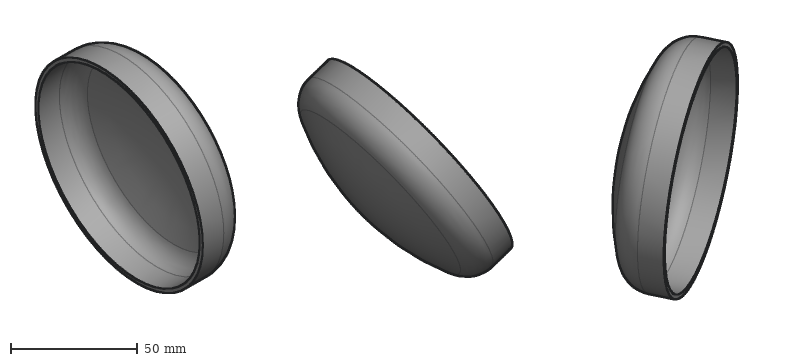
import cadquery as cq
import math

outer_diameter = 104.0
inner_diameter = 100.0
total_height = 31.9
inner_crown_radius = outer_diameter
inner_knuckle_radius = outer_diameter / 10

outer_radius = outer_diameter / 2
inner_radius = inner_diameter / 2
wall = outer_radius - inner_radius
crown_center_y = total_height - wall - inner_crown_radius

knuckle_center_x = inner_radius - inner_knuckle_radius
crown_angle = math.asin(knuckle_center_x / (inner_crown_radius - inner_knuckle_radius))
knuckle_center_y = crown_center_y + (inner_crown_radius - inner_knuckle_radius) * math.cos(crown_angle)


def polar_point(center_x, center_y, radius, angle):
    """Point on an arc, with the angle measured from the Y axis towards X."""
    return (center_x + radius * math.sin(angle), center_y + radius * math.cos(angle))


def dome(offset):
    """Solid of revolution bounded by the inner surface moved outwards by offset."""
    crown_radius = inner_crown_radius + offset
    knuckle_radius = inner_knuckle_radius + offset
    skirt_radius = inner_radius + offset
    knuckle_mid_angle = (crown_angle + math.pi / 2) / 2

    apex = (0, crown_center_y + crown_radius)
    crown_mid = polar_point(0, crown_center_y, crown_radius, crown_angle / 2)
    crown_edge = polar_point(0, crown_center_y, crown_radius, crown_angle)
    knuckle_mid = polar_point(knuckle_center_x, knuckle_center_y, knuckle_radius, knuckle_mid_angle)
    knuckle_end = (skirt_radius, knuckle_center_y)

    return (
        cq.Workplane("XY")
        .moveTo(0, 0)
        .lineTo(skirt_radius, 0)
        .lineTo(*knuckle_end)
        .threePointArc(knuckle_mid, crown_edge)
        .threePointArc(crown_mid, apex)
        .close()
        .revolve(360, (0, 0, 0), (0, 1, 0))
    )


result = dome(wall).cut(dome(0))